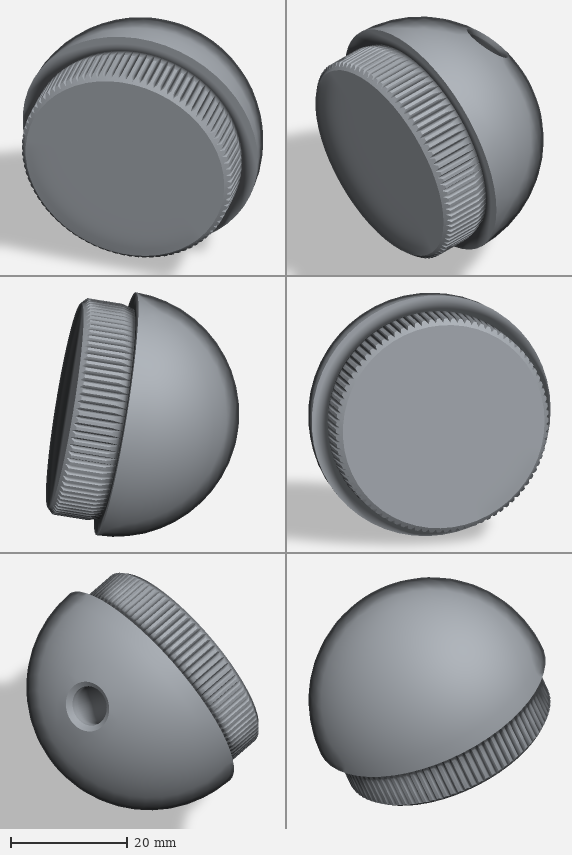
import cadquery as cq
import math

dome_radius = 21.2

plug_radius = 18.85
plug_length = 9.0
lead_chamfer = 0.98
back_taper_length = 2.05
back_taper_angle = 15.0

groove_count = 90
groove_width = 0.75
groove_depth = 0.6

hole_diameter = 6.85
countersink_diameter = 8.7
countersink_depth = 0.7
hole_tilt = 45.0


def make_dome():
    """Half ball on the +Y side of the seam."""
    quarter = (
        cq.Workplane("XY")
        .lineTo(dome_radius, 0)
        .radiusArc((0, dome_radius), -dome_radius)
        .close()
    )
    return quarter.revolve(360, (0, 0, 0), (0, 1, 0))


def make_plug():
    """Disc with a lead-in chamfer, narrowing in a back taper towards the dome."""
    neck_radius = plug_radius - back_taper_length * math.tan(math.radians(back_taper_angle))
    half_section = (
        cq.Workplane("XY")
        .lineTo(neck_radius, 0)
        .lineTo(plug_radius, -back_taper_length)
        .lineTo(plug_radius, -plug_length + lead_chamfer)
        .lineTo(plug_radius - lead_chamfer, -plug_length)
        .lineTo(0, -plug_length)
        .close()
    )
    return half_section.revolve(360, (0, 0, 0), (0, 1, 0))


def make_knurl_envelope():
    """Prism along the plug whose outline has a V notch for each groove."""
    root_radius = plug_radius - groove_depth
    pitch_angle = 2 * math.pi / groove_count
    half_groove_angle = math.asin(groove_width / 2 / plug_radius)

    def polar(radius, angle):
        return (radius * math.sin(angle), radius * math.cos(angle))

    outline = cq.Workplane("XZ").moveTo(*polar(root_radius, 0))
    for groove in range(groove_count):
        start = groove * pitch_angle
        end = start + pitch_angle
        outline = (
            outline.lineTo(*polar(plug_radius, start + half_groove_angle))
            .threePointArc(
                polar(plug_radius, start + pitch_angle / 2),
                polar(plug_radius, end - half_groove_angle),
            )
        )
        if groove < groove_count - 1:
            outline = outline.lineTo(*polar(root_radius, end))
    return outline.close().extrude(plug_length)


def make_hole():
    """Drill with its countersink, from the dome surface down to the dome centre."""
    hole_radius = hole_diameter / 2
    rim_radius = countersink_diameter / 2
    rim_height = math.sqrt(dome_radius**2 - rim_radius**2)
    half_section = (
        cq.Workplane("XZ")
        .lineTo(hole_radius, 0)
        .lineTo(hole_radius, rim_height - countersink_depth)
        .lineTo(rim_radius, rim_height)
        .lineTo(rim_radius, dome_radius)
        .lineTo(0, dome_radius)
        .close()
    )
    cutter = half_section.revolve(360, (0, 0, 0), (0, 1, 0))
    return cutter.rotate((0, 0, 0), (1, 0, 0), -hole_tilt)


plug = make_plug().intersect(make_knurl_envelope())
result = make_dome().union(plug).cut(make_hole())